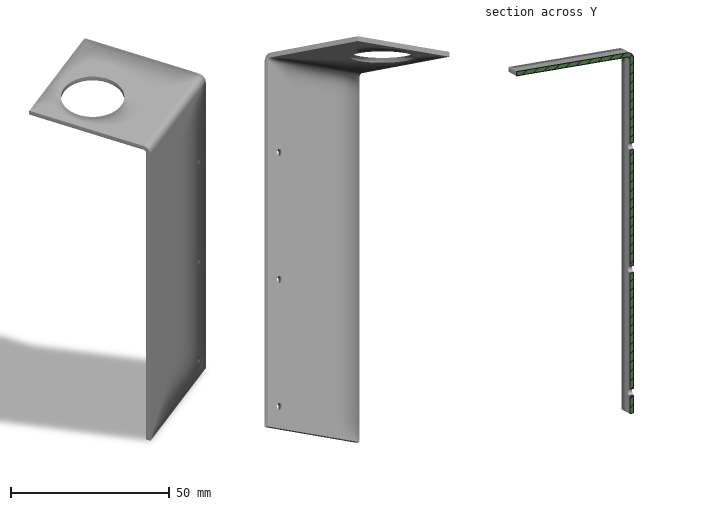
import cadquery as cq

length_x = 42.5
width_y = 40.0
height_z = 119.8

thickness = 1.5
inner_bend_radius = 1.0
outer_bend_radius = inner_bend_radius + thickness

flange_hole_diameter = 20.0
flange_hole_inset = 15.0

small_hole_diameter = 2.2
small_hole_edge_distance = 5.0
lowest_hole_height = 7.1
small_hole_pitch = 40.7
small_hole_count = 3


def bent_sheet():
    """L-shaped sheet: top flange along X, upright at the +X end."""
    block = cq.Workplane("XY").box(length_x, width_y, height_z, centered=False)
    block = block.edges("|Y and >X and >Z").fillet(outer_bend_radius)
    inside = cq.Workplane("XY").box(
        length_x - thickness, width_y, height_z - thickness, centered=False
    )
    inside = inside.edges("|Y and >X and >Z").fillet(inner_bend_radius)
    return block.cut(inside)


def flange_hole():
    return (
        cq.Workplane("XY", origin=(flange_hole_inset, flange_hole_inset, 0))
        .circle(flange_hole_diameter / 2)
        .extrude(height_z)
    )


def upright_holes():
    row_y = width_y - small_hole_edge_distance
    centers = [
        (row_y, lowest_hole_height + i * small_hole_pitch)
        for i in range(small_hole_count)
    ]
    return (
        cq.Workplane("YZ")
        .pushPoints(centers)
        .circle(small_hole_diameter / 2)
        .extrude(length_x)
    )


result = bent_sheet().cut(flange_hole()).cut(upright_holes())